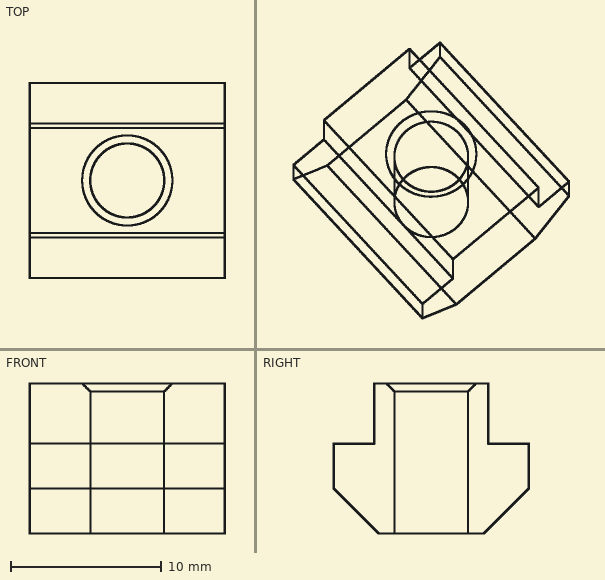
import cadquery as cq

length = 13.0
base_width = 13.0
height = 10.0
neck_width = 7.59
neck_height = 4.0
bevel = 3.0
hole_diameter = 4.91
countersink_diameter = 6.0
countersink_angle = 90.0

half_base = base_width / 2
half_neck = neck_width / 2
shoulder_z = height - neck_height

half_profile = [
    (half_base - bevel, 0),
    (half_base, bevel),
    (half_base, shoulder_z),
    (half_neck, shoulder_z),
    (half_neck, height),
]
mirrored_half = [(-y, z) for y, z in reversed(half_profile)]

body = (
    cq.Workplane("YZ")
    .polyline(half_profile + mirrored_half)
    .close()
    .extrude(length / 2, both=True)
)

result = (
    body.faces(">Z")
    .workplane(centerOption="CenterOfBoundBox")
    .cskHole(hole_diameter, countersink_diameter, countersink_angle)
)